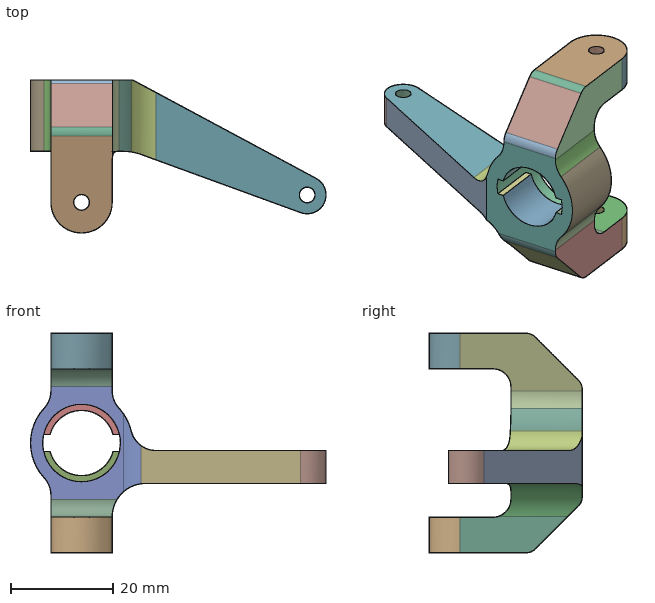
import cadquery as cq
import math

overall_length = 57.9
overall_height = 43.0
hub_radius = 10.0
hub_depth = 14.0
neck_radius = 5.0

bore_radius = 7.6
lip_radius = 6.35
lip_thickness = 10.0
key_slot_height = 3.3

lug_width = 12.05
lug_thickness = 7.0
overall_depth = 30.0
lug_inner_fillet = 3.5
back_chamfer = 9.95
back_corner_fillet = 2.5
pin_hole_diameter = 3.0

arm_top = -1.45
arm_bottom = -7.95
arm_tip_radius = 3.7
arm_tip_x = overall_length - hub_radius - arm_tip_radius
arm_tip_y = -22.5
arm_front_blend = 10.0
arm_upper_blend = 5.0
arm_lower_blend = 6.5

half_height = overall_height / 2
lug_half_width = lug_width / 2
lug_inner_z = half_height - lug_thickness
pin_y = -(overall_depth - lug_half_width)
hub_offset = hub_radius + neck_radius


def along_y(sketch, front_y, back_y):
    """Extrude an XZ sketch function between two Y positions."""
    plane = cq.Workplane("XZ", origin=(0, back_y, 0))
    return sketch(plane).extrude(back_y - front_y)


def upright_outline(plane):
    """Lug strip blended into the round hub on all four corners."""
    neck_x = lug_half_width + neck_radius
    neck_z = math.sqrt(hub_offset**2 - neck_x**2)
    touch_x = neck_x * hub_radius / hub_offset
    touch_z = neck_z * hub_radius / hub_offset
    mid_angle = (math.pi + math.atan2(-neck_z, -neck_x) + 2 * math.pi) / 2
    mid_x = neck_x + neck_radius * math.cos(mid_angle)
    mid_z = neck_z + neck_radius * math.sin(mid_angle)
    return (
        plane.moveTo(-lug_half_width, half_height)
        .lineTo(lug_half_width, half_height)
        .lineTo(lug_half_width, neck_z)
        .threePointArc((mid_x, mid_z), (touch_x, touch_z))
        .threePointArc((hub_radius, 0), (touch_x, -touch_z))
        .threePointArc((mid_x, -mid_z), (lug_half_width, -neck_z))
        .lineTo(lug_half_width, -half_height)
        .lineTo(-lug_half_width, -half_height)
        .lineTo(-lug_half_width, -neck_z)
        .threePointArc((-mid_x, -mid_z), (-touch_x, -touch_z))
        .threePointArc((-hub_radius, 0), (-touch_x, touch_z))
        .threePointArc((-mid_x, mid_z), (-lug_half_width, neck_z))
        .close()
    )


def arm_outline(plane):
    """Arm seen along Y, flaring into the hub above and the lower lug below."""
    upper_z = arm_top + arm_upper_blend
    upper_x = math.sqrt((hub_radius + arm_upper_blend)**2 - upper_z**2)
    shrink = hub_radius / (hub_radius + arm_upper_blend)
    hub_mid_angle = math.atan2(upper_x, upper_z) / 2
    upper_mid_angle = (math.atan2(-upper_z, -upper_x) - math.pi / 2) / 2
    upper_mid = (
        upper_x + arm_upper_blend * math.cos(upper_mid_angle),
        upper_z + arm_upper_blend * math.sin(upper_mid_angle),
    )
    lower_x = lug_half_width + arm_lower_blend
    lower_z = arm_bottom - arm_lower_blend
    diagonal = arm_lower_blend * math.sqrt(0.5)
    tip_end = arm_tip_x + arm_tip_radius
    return (
        plane.moveTo(0, hub_radius)
        .threePointArc(
            (hub_radius * math.sin(hub_mid_angle), hub_radius * math.cos(hub_mid_angle)),
            (upper_x * shrink, upper_z * shrink),
        )
        .threePointArc(upper_mid, (upper_x, arm_top))
        .lineTo(tip_end, arm_top)
        .lineTo(tip_end, arm_bottom)
        .lineTo(lower_x, arm_bottom)
        .threePointArc((lower_x - diagonal, lower_z + diagonal), (lug_half_width, lower_z))
        .lineTo(0, lower_z)
        .close()
    )


def tip_tangent(start_y, side):
    """Point where a line from the hub corner touches the tip; side is +1 for the back edge."""
    dx = arm_tip_x - hub_radius
    dy = arm_tip_y - start_y
    lean = math.asin(arm_tip_radius / math.hypot(dx, dy))
    normal = math.atan2(dy, dx) + side * (lean + math.pi / 2)
    return (
        arm_tip_x + arm_tip_radius * math.cos(normal),
        arm_tip_y + arm_tip_radius * math.sin(normal),
    )


def chamfered_block():
    """Envelope with the two back edges chamfered and softened."""
    block = cq.Workplane("XY").box(2 * (arm_tip_x + arm_tip_radius), overall_depth, overall_height)
    block = block.translate((0, -overall_depth / 2, 0))
    block = block.edges("|X and >Y").chamfer(back_chamfer)
    chamfer_start_z = half_height - back_chamfer
    for side in (-1, 1):
        for corner in ((0, 0, side * chamfer_start_z), (0, -back_chamfer, side * half_height)):
            corner_edge = cq.selectors.NearestToPointSelector(corner)
            block = block.edges("|X").edges(corner_edge).fillet(back_corner_fillet)
    return block


def make_arm():
    plan = (
        cq.Workplane("XY", origin=(0, 0, -half_height))
        .moveTo(0, 0)
        .lineTo(hub_radius, 0)
        .lineTo(*tip_tangent(0, 1))
        .threePointArc((arm_tip_x + arm_tip_radius, arm_tip_y), tip_tangent(-hub_depth, -1))
        .lineTo(hub_radius, -hub_depth)
        .lineTo(0, -hub_depth)
        .close()
        .extrude(overall_height)
    )
    front_corner = cq.selectors.NearestToPointSelector((hub_radius, -hub_depth, 0))
    plan = plan.edges(front_corner).fillet(arm_front_blend)
    arm = plan.intersect(along_y(arm_outline, -overall_depth, 0))
    return arm.intersect(chamfered_block())


def make_fork():
    """C-shaped side profile trimmed to the outline of the hub, lugs and arm root."""
    block = chamfered_block()
    gap = cq.Workplane("XY").box(2 * hub_radius, overall_depth, 2 * lug_inner_z)
    gap = gap.translate((0, -hub_depth - overall_depth / 2, 0))
    gap = gap.edges("|X and >Y").fillet(lug_inner_fillet)

    silhouette = along_y(upright_outline, -overall_depth, 0)
    silhouette = silhouette.union(along_y(arm_outline, -overall_depth, 0))
    return block.cut(gap).intersect(silhouette).intersect(lug_plan())


def lug_plan():
    """Plan of the fork: straight as far as the pin axis, then a rounded end."""
    straight = cq.Workplane("XY").box(2 * hub_radius, -pin_y, overall_height)
    straight = straight.translate((0, pin_y / 2, 0))
    rounded = cq.Workplane("XY").circle(lug_half_width).extrude(half_height, both=True)
    return straight.union(rounded.translate((0, pin_y, 0)))


def make_bore():
    """Stepped bore; the lip at the back has a key slot on each side."""
    bore = along_y(lambda plane: plane.circle(bore_radius), -hub_depth, -lip_thickness)
    lip_hole = along_y(lambda plane: plane.circle(lip_radius), -hub_depth, 0)
    slots = along_y(lambda plane: plane.rect(2 * bore_radius, key_slot_height), -hub_depth, 0)
    bore_envelope = along_y(lambda plane: plane.circle(bore_radius), -hub_depth, 0)
    return bore.union(lip_hole).union(slots.intersect(bore_envelope))


def make_pin_holes():
    """Vertical holes through both lugs and the arm tip."""
    centres = [(0, pin_y), (arm_tip_x, arm_tip_y)]
    holes = cq.Workplane("XY").pushPoints(centres).circle(pin_hole_diameter / 2)
    return holes.extrude(half_height, both=True)


result = make_fork().union(make_arm()).cut(make_bore()).cut(make_pin_holes())